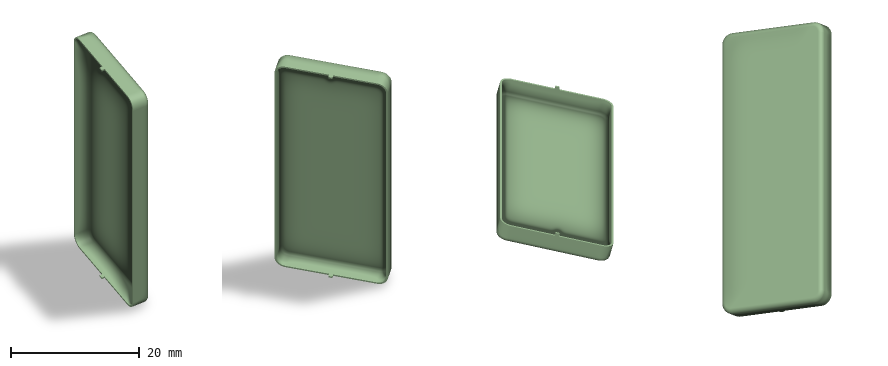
import cadquery as cq

width = 18.2
height = 44.8
total_depth = 3.5

tab_length = 0.5
tray_depth = total_depth - tab_length
wall = 0.3
corner_radius = 1.8
back_edge_radius = 0.7
inner_edge_radius = 0.5

tab_width = 0.65


def rounded_block(inset, back_y, edge_radius):
    """Upright block from Y = 0 to back_y with round corners and a rounded back edge.

    The inset shrinks its sides inward from the outer surface of the tray.
    """
    return (
        cq.Workplane("XZ", origin=(0, back_y, 0))
        .rect(width - 2 * inset, height - 2 * inset)
        .extrude(back_y)
        .edges("|Y")
        .fillet(corner_radius - inset)
        .faces(">Y")
        .edges()
        .fillet(edge_radius)
    )


def rim_tab(side):
    """Small tab continuing the end wall forward; side is 1 for the top and -1 for the bottom."""
    length = total_depth - back_edge_radius
    return cq.Workplane("XY").box(tab_width, length, wall).translate(
        (0, length / 2 - tab_length, side * (height - wall) / 2)
    )


outer = rounded_block(0, tray_depth, back_edge_radius)
cavity = rounded_block(wall, tray_depth - wall, inner_edge_radius)
result = outer.cut(cavity)

for side in (1, -1):
    result = result.union(rim_tab(side))